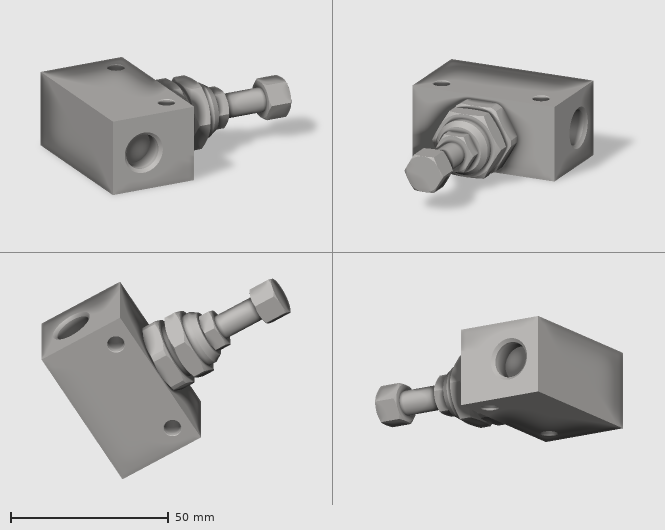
import cadquery as cq
import math


BODY_WIDTH = 50.0
BODY_DEPTH = 29.15
BODY_HEIGHT = 25.0

PORT_DIAMETER = 11.6
PORT_MOUTH_DIAMETER = 13.65
PORT_Y = 11.1
PORT_DEPTH = 7.0

MOUNT_DIAMETER = 5.4
MOUNT_MOUTH_DIAMETER = 5.8
MOUNT_SPACING = 35.0
MOUNT_Y = 23.1

TOTAL_LENGTH = 73.8
BASE_NUT_LENGTH = 6.0
PANEL_NUT_START = 37.0
PANEL_NUT_LENGTH = 5.6
COLLAR_DIAMETER = 18.0
COLLAR_TIP_DIAMETER = 15.2
COLLAR_TAPER_START = 44.9
COLLAR_END = 47.1
STEM_DIAMETER = 8.0
LOCK_NUT_LENGTH = 4.5
KNOB_LENGTH = 8.0

BASE_NUT_FLATS = 22.15
BASE_NUT_DIAMETER = 24.5
PANEL_NUT_FLATS = 21.0
SMALL_HEX_FLATS = 11.95
NUT_CHAMFER_ANGLE = 30.0


def cylinder_y(diameter, start, end):
    """Cylinder on the spindle axis between two Y positions."""
    return cq.Workplane("XZ", origin=(0, start, 0)).circle(diameter / 2).extrude(start - end)


def hex_nut(flats, start, length, turned_diameter=None):
    """Hexagon with corners at +X and -X and both ends chamfered down to the flats."""
    corners = flats / math.cos(math.radians(30))
    prism = cq.Workplane("XZ", origin=(0, start, 0)).polygon(6, corners).extrude(-length)
    outer_radius = (turned_diameter or corners) / 2
    end_radius = flats / 2
    chamfer = (outer_radius - end_radius) * math.tan(math.radians(NUT_CHAMFER_ANGLE))
    end = start + length
    envelope = (
        cq.Workplane("XY")
        .moveTo(0, start)
        .lineTo(end_radius, start)
        .lineTo(outer_radius, start + chamfer)
        .lineTo(outer_radius, end - chamfer)
        .lineTo(end_radius, end)
        .lineTo(0, end)
        .close()
        .revolve(360, (0, 0, 0), (0, 1, 0))
    )
    return prism.intersect(envelope)


def countersunk_hole(mouth_plane, diameter, mouth_diameter, depth):
    """Cutter for a hole with a 45 degree mouth, running against the plane normal."""
    sink = (mouth_diameter - diameter) / 2
    bore = mouth_plane.circle(diameter / 2).extrude(-depth)
    mouth = mouth_plane.circle(mouth_diameter / 2).extrude(-sink, taper=45)
    return bore.union(mouth)


def make_body():
    body = cq.Workplane("XY").box(BODY_WIDTH, BODY_DEPTH, BODY_HEIGHT)
    body = body.translate((0, BODY_DEPTH / 2, 0))

    for side in (-1, 1):
        end_face = cq.Workplane(cq.Plane((side * BODY_WIDTH / 2, PORT_Y, 0), (0, 1, 0), (side, 0, 0)))
        body = body.cut(countersunk_hole(end_face, PORT_DIAMETER, PORT_MOUTH_DIAMETER, PORT_DEPTH))

        for face in (-1, 1):
            center = (side * MOUNT_SPACING / 2, MOUNT_Y, face * BODY_HEIGHT / 2)
            flat_face = cq.Workplane(cq.Plane(center, (1, 0, 0), (0, 0, face)))
            body = body.cut(
                countersunk_hole(flat_face, MOUNT_DIAMETER, MOUNT_MOUTH_DIAMETER, BODY_HEIGHT)
            )
    return body


def make_collar():
    """Threaded collar with a tapered tip, starting at the back face of the body."""
    return (
        cq.Workplane("XY")
        .moveTo(0, BODY_DEPTH)
        .lineTo(COLLAR_DIAMETER / 2, BODY_DEPTH)
        .lineTo(COLLAR_DIAMETER / 2, COLLAR_TAPER_START)
        .lineTo(COLLAR_TIP_DIAMETER / 2, COLLAR_END)
        .lineTo(0, COLLAR_END)
        .close()
        .revolve(360, (0, 0, 0), (0, 1, 0))
    )


result = (
    make_body()
    .union(make_collar())
    .union(hex_nut(BASE_NUT_FLATS, BODY_DEPTH, BASE_NUT_LENGTH, BASE_NUT_DIAMETER))
    .union(hex_nut(PANEL_NUT_FLATS, PANEL_NUT_START, PANEL_NUT_LENGTH))
    .union(cylinder_y(STEM_DIAMETER, COLLAR_END, TOTAL_LENGTH))
    .union(hex_nut(SMALL_HEX_FLATS, COLLAR_END, LOCK_NUT_LENGTH))
    .union(hex_nut(SMALL_HEX_FLATS, TOTAL_LENGTH - KNOB_LENGTH, KNOB_LENGTH))
)